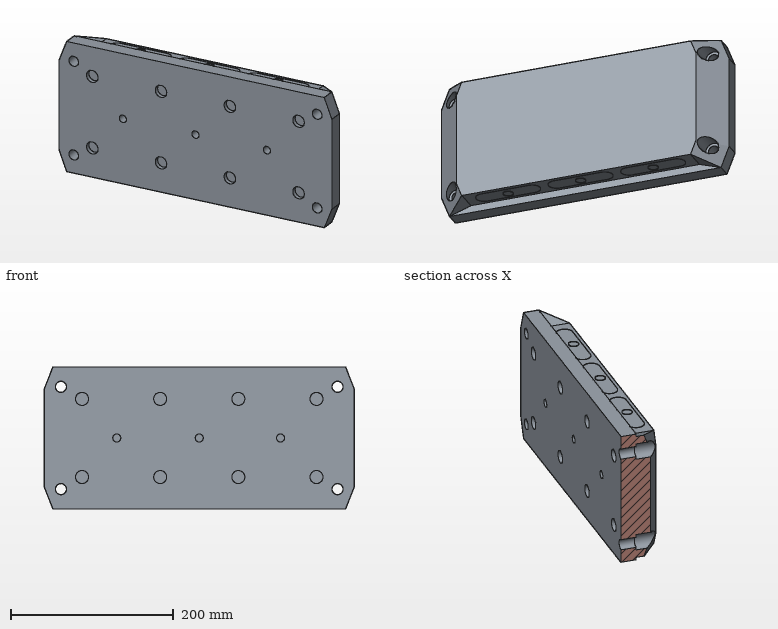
import cadquery as cq

LENGTH = 381.0
THICKNESS = 50.0
HEIGHT = 175.0
HALF_LENGTH = LENGTH / 2
HALF_HEIGHT = HEIGHT / 2

BASE_THICKNESS = 20.0
BLOCK_THICKNESS = THICKNESS - BASE_THICKNESS
CORNER_X = 10.5
CORNER_Z = 27.0
END_SETBACK = 32.0

TRAY_DEPTH = 9.5
TRAY_FLOOR_LENGTH = 302.5
TRAY_FLOOR_Z = HALF_HEIGHT - TRAY_DEPTH

BOLT_X = 170.0
BOLT_Z = 63.0
BOLT_DIAMETER = 13.5
BOLT_HEAD_DIAMETER = 20.5

PITCH = 96.0

BLIND_DIAMETER = 16.0
BLIND_DEPTH = 6.0

SMALL_X = (-101.5, 0, 100.0)
SMALL_DIAMETER = 10.0
SMALL_DEPTH = BASE_THICKNESS

PAD_LENGTH = 84.5
PAD_WIDTH = 21.0
PAD_HEIGHT = 0.5
PAD_Y = BASE_THICKNESS + BLOCK_THICKNESS / 2
DISC_DIAMETER = 13.0
DISC_HEIGHT = 0.8


def plane_at(y):
    """Workplane facing -Y: a positive extrusion runs from y toward the front face."""
    return cq.Workplane("XZ", origin=(0, y, 0))


def front_holes(points, diameter, depth):
    """Round holes of the given depth sunk from the front face."""
    return plane_at(depth).pushPoints(points).circle(diameter / 2).extrude(depth)


def octagon(half_length):
    """Outline of the given half length with its four corners cut off."""
    top_x = half_length - CORNER_X
    side_z = HALF_HEIGHT - CORNER_Z
    return [
        (-top_x, -HALF_HEIGHT),
        (top_x, -HALF_HEIGHT),
        (half_length, -side_z),
        (half_length, side_z),
        (top_x, HALF_HEIGHT),
        (-top_x, HALF_HEIGHT),
        (-half_length, side_z),
        (-half_length, -side_z),
    ]


def bevelled_block():
    """Octagonal plate and the block behind it, which narrows in length toward the rear."""
    plate = plane_at(BASE_THICKNESS).polyline(octagon(HALF_LENGTH)).close().extrude(BASE_THICKNESS)
    block = (
        plane_at(BASE_THICKNESS)
        .polyline(octagon(HALF_LENGTH))
        .close()
        .workplane(offset=-BLOCK_THICKNESS)
        .polyline(octagon(HALF_LENGTH - END_SETBACK))
        .close()
        .loft(ruled=True)
    )
    return plate.union(block)


def tray(side):
    """Tray volume to remove from the top (side = 1) or bottom (side = -1) of the block."""
    rim_z = side * HALF_HEIGHT
    floor_z = side * TRAY_FLOOR_Z
    rim_x = HALF_LENGTH - CORNER_X
    floor_x = TRAY_FLOOR_LENGTH / 2
    profile = [(-rim_x, rim_z), (-floor_x, floor_z), (floor_x, floor_z), (rim_x, rim_z)]
    return plane_at(THICKNESS).polyline(profile).close().extrude(BLOCK_THICKNESS)


def pads(side):
    """Pads and discs standing on the floor of the top (1) or bottom (-1) tray."""
    centres = [(i * PITCH, PAD_Y) for i in (-1, 0, 1)]
    floor = cq.Workplane("XY", origin=(0, 0, side * TRAY_FLOOR_Z)).pushPoints(centres)
    plates = floor.slot2D(PAD_LENGTH, PAD_WIDTH).extrude(side * PAD_HEIGHT)
    discs = floor.circle(DISC_DIAMETER / 2).extrude(side * (PAD_HEIGHT + DISC_HEIGHT))
    return plates.union(discs)


def bolt_holes():
    """Through holes near the four corners with counterbores ending at the plate's back."""
    points = [(sx * BOLT_X, sz * BOLT_Z) for sx in (-1, 1) for sz in (-1, 1)]
    shanks = front_holes(points, BOLT_DIAMETER, THICKNESS)
    heads = plane_at(THICKNESS).pushPoints(points).circle(BOLT_HEAD_DIAMETER / 2)
    return shanks.union(heads.extrude(BLOCK_THICKNESS))


def blind_holes():
    """Two rows of four flat-bottomed holes in the front face."""
    points = [(i * PITCH, j * PITCH) for i in (-1.5, -0.5, 0.5, 1.5) for j in (-0.5, 0.5)]
    return front_holes(points, BLIND_DIAMETER, BLIND_DEPTH)


def small_holes():
    """Three holes on the centre line, as deep as the plate."""
    return front_holes([(x, 0) for x in SMALL_X], SMALL_DIAMETER, SMALL_DEPTH)


result = bevelled_block()
for side in (1, -1):
    result = result.cut(tray(side)).union(pads(side))
result = result.cut(bolt_holes()).cut(blind_holes()).cut(small_holes())